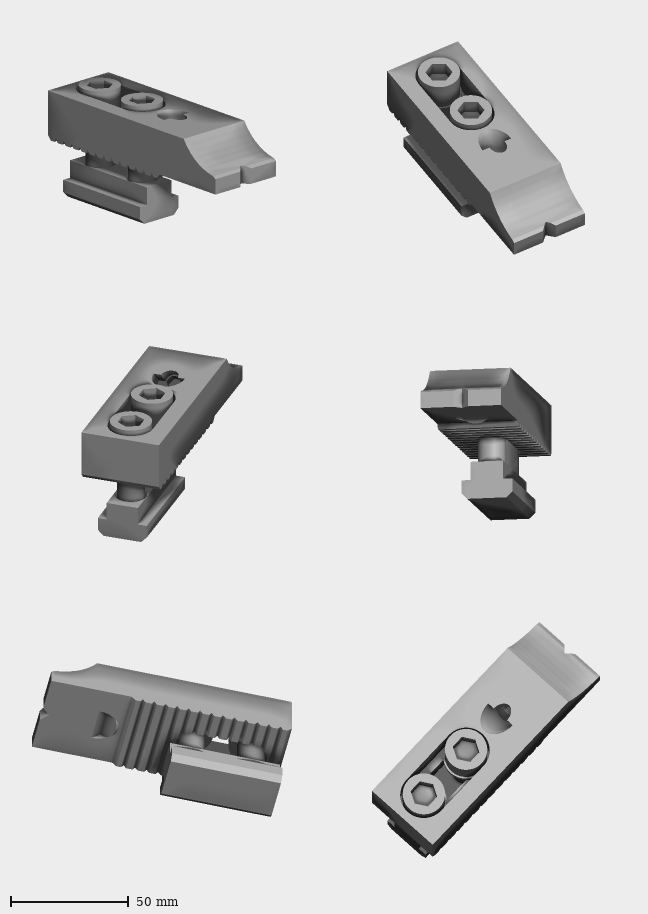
import cadquery as cq
import math


clamp_length = 105.0
clamp_width = 35.0
underside_depth = 20.0
teeth_depth = 22.0

foot_length = 70.0
notch_count = 13
notch_pitch = foot_length / (notch_count + 1)
notch_depth = 1.9
notch_angle = 60.0
foot_chamfer_run = 1.9

joint_top_x = 70.0
dovetail_depth = 6.0
dovetail_back_width = 25.0
dovetail_flank_angle = 30.0
dovetail_neck_width = dovetail_back_width - 2 * dovetail_depth * math.tan(math.radians(dovetail_flank_angle))

scoop_start_x = 85.0
scoop_end_x = 103.4
scoop_end_depth = 12.1
scoop_radius = 26.2
nose_edge_depth = 13.0
nose_notch_depth = 3.2

spindle_diameter = 14.1
spindle_start = 8.6
spindle_length = 14.2
spindle_socket_flats = 6.0
spindle_socket_depth = 4.2
key_hole_diameter = 7.6

bolt_spacing = 26.5
bolt_middle_x = 26.8
head_diameter = 18.0
head_rise = 2.0
head_height = 12.0
shank_diameter = 12.0
socket_flats = 10.0
socket_depth = 6.0

washer_diameter = 19.4
washer_thickness = 2.5

slot_width = 20.0
slot_spacing = 26.7
through_slot_width = 13.0
washer_top_z = head_rise - head_height
slot_floor_z = washer_top_z - washer_thickness

nut_length = 48.1
nut_middle_x = 26.7
nut_neck_width = 14.1
nut_flange_width = 22.0
nut_top_z = -33.1
nut_step_z = -41.0
nut_bottom_z = -49.0
nut_chamfer = 2.5
countersink_diameter = 13.9
countersink_depth = 0.9

bolt_positions = [bolt_middle_x - bolt_spacing / 2, bolt_middle_x + bolt_spacing / 2]


def joint_plane(distance_along):
    """Plane square to the joint slope, on the middle of the dovetail's back edge.

    Its local x is the clamp's Y, its local y points out of the base into the jaw,
    and its normal runs down the slope.
    """
    slope = math.sqrt(0.5)
    back_top_x = joint_top_x - dovetail_depth / slope
    origin = (back_top_x + distance_along * slope, 0, -distance_along * slope)
    return cq.Plane(origin=origin, xDir=(0, 1, 0), normal=(1, 0, -1))


def joint_cylinder(diameter, start, end):
    """Cylinder along the slope of the joint, on the middle of the dovetail's back."""
    return cq.Workplane(joint_plane(start)).circle(diameter / 2).extrude(end - start)


def hexagon_diameter(flats):
    """Diameter over the corners of a hexagon, from its width across the flats."""
    return flats / math.cos(math.pi / 6)


def side_prism(points):
    """Full-width prism from an outline in X and Z."""
    return cq.Workplane("XZ").polyline(points).close().extrude(clamp_width / 2, both=True)


def dovetail():
    half_back = dovetail_back_width / 2
    half_neck = dovetail_neck_width / 2
    tail = (
        cq.Workplane(joint_plane(0))
        .polyline([(-half_back, 0), (half_back, 0), (half_neck, dovetail_depth), (-half_neck, dovetail_depth)])
        .close()
        .extrude(2 * underside_depth, both=True)
    )
    slab = cq.Workplane("XY").box(
        2 * clamp_length, clamp_width, underside_depth, centered=(True, True, False)
    ).translate((0, 0, -underside_depth))
    return tail.intersect(slab)


def bolt_slot(width, bottom_z, top_z):
    return (
        cq.Workplane("XY", origin=(bolt_middle_x, 0, bottom_z))
        .slot2D(slot_spacing + width, width)
        .extrude(top_z - bottom_z)
    )


def base():
    body = side_prism([
        (0, 0),
        (joint_top_x, 0),
        (joint_top_x + underside_depth, -underside_depth),
        (foot_length, -underside_depth),
        (foot_length - foot_chamfer_run, -teeth_depth),
        (foot_chamfer_run, -teeth_depth),
        (0, -underside_depth),
    ])
    half_notch = notch_depth * math.tan(math.radians(notch_angle / 2))
    for index in range(1, notch_count + 1):
        notch_x = index * notch_pitch
        body = body.cut(side_prism([
            (notch_x - half_notch, -teeth_depth),
            (notch_x, -teeth_depth + notch_depth),
            (notch_x + half_notch, -teeth_depth),
        ]))
    body = body.cut(bolt_slot(slot_width, slot_floor_z, 0))
    body = body.cut(bolt_slot(through_slot_width, -teeth_depth, slot_floor_z))
    spindle_bore = joint_cylinder(spindle_diameter, -spindle_diameter, 2 * clamp_width)
    return body.cut(dovetail()).cut(spindle_bore)


def jaw():
    chord_x = scoop_end_x - scoop_start_x
    chord = math.hypot(chord_x, scoop_end_depth)
    sag = scoop_radius - math.sqrt(scoop_radius**2 - chord**2 / 4)
    scoop_middle = (
        (scoop_start_x + scoop_end_x) / 2 - sag * scoop_end_depth / chord,
        -scoop_end_depth / 2 - sag * chord_x / chord,
    )
    body = (
        cq.Workplane("XZ")
        .moveTo(joint_top_x, 0)
        .lineTo(scoop_start_x, 0)
        .threePointArc(scoop_middle, (scoop_end_x, -scoop_end_depth))
        .lineTo(clamp_length, -nose_edge_depth)
        .lineTo(clamp_length, -underside_depth)
        .lineTo(joint_top_x + underside_depth, -underside_depth)
        .close()
        .extrude(clamp_width / 2, both=True)
    )
    nose_notch = (
        cq.Workplane("XY", origin=(clamp_length, 0, -underside_depth))
        .polyline([(-nose_notch_depth, 0), (0, nose_notch_depth), (0, -nose_notch_depth)])
        .close()
        .extrude(underside_depth)
    )
    spindle = joint_cylinder(spindle_diameter, spindle_start, spindle_start + spindle_length)
    key_hole = joint_cylinder(key_hole_diameter, -key_hole_diameter, spindle_start)
    socket = (
        cq.Workplane(joint_plane(spindle_start))
        .polygon(6, hexagon_diameter(spindle_socket_flats))
        .extrude(spindle_socket_depth)
    )
    return body.union(dovetail()).cut(nose_notch).union(spindle).cut(key_hole).cut(socket)


def bolt(x):
    head_top = cq.Workplane("XY", origin=(x, 0, head_rise))
    head = head_top.circle(head_diameter / 2).extrude(-head_height)
    shank = head_top.circle(shank_diameter / 2).extrude(nut_bottom_z - head_rise)
    socket = head_top.polygon(6, hexagon_diameter(socket_flats)).extrude(-socket_depth)
    return head.union(shank).cut(socket)


def washer(x):
    return (
        cq.Workplane("XY", origin=(x, 0, slot_floor_z))
        .circle(washer_diameter / 2)
        .circle(shank_diameter / 2)
        .extrude(washer_thickness)
    )


def nut():
    half_flange = nut_flange_width / 2
    half_neck = nut_neck_width / 2
    body = (
        cq.Workplane("YZ", origin=(nut_middle_x, 0, 0))
        .polyline([
            (-half_neck, nut_top_z),
            (half_neck, nut_top_z),
            (half_neck, nut_step_z),
            (half_flange, nut_step_z),
            (half_flange, nut_bottom_z + nut_chamfer),
            (half_flange - nut_chamfer, nut_bottom_z),
            (-half_flange + nut_chamfer, nut_bottom_z),
            (-half_flange, nut_bottom_z + nut_chamfer),
            (-half_flange, nut_step_z),
            (-half_neck, nut_step_z),
        ])
        .close()
        .extrude(nut_length / 2, both=True)
    )
    for x in bolt_positions:
        bolt_hole = (
            cq.Workplane("XY", origin=(x, 0, nut_bottom_z))
            .circle(shank_diameter / 2)
            .extrude(nut_top_z - nut_bottom_z)
        )
        countersink = (
            cq.Workplane("XY", origin=(x, 0, nut_top_z))
            .circle(countersink_diameter / 2)
            .workplane(offset=-countersink_depth)
            .circle(shank_diameter / 2)
            .loft()
        )
        body = body.cut(bolt_hole).cut(countersink)
    return body


bolts = [bolt(x).val() for x in bolt_positions]
washers = [washer(x).val() for x in bolt_positions]
result = cq.Compound.makeCompound(
    [base().val(), jaw().val(), nut().val(), *bolts, *washers]
)